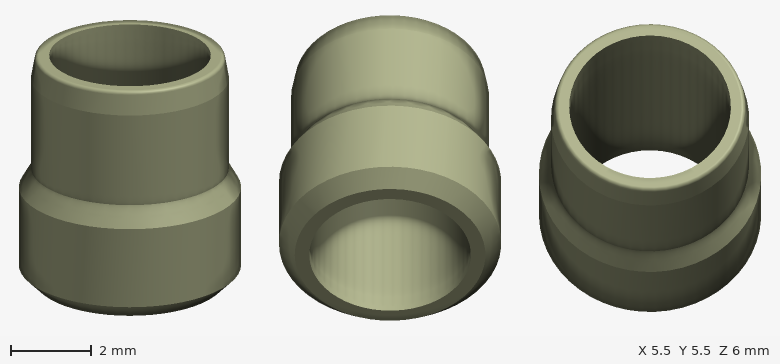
import cadquery as cq
import math

height = 6.0
bore_diameter = 4.0
neck_diameter = 4.9
body_diameter = 5.5
bottom_chamfer = 0.39
neck_start = 3.0
shoulder_angle = 30.0
taper_length = 0.6
taper_angle = 10.0
rim_radius = 0.1

bore_radius = bore_diameter / 2
neck_radius = neck_diameter / 2
body_radius = body_diameter / 2
shoulder_height = (body_radius - neck_radius) / math.tan(math.radians(shoulder_angle))
rim_outer_radius = neck_radius - taper_length * math.tan(math.radians(taper_angle))

outer_profile = [
    (0, 0),
    (body_radius - bottom_chamfer, 0),
    (body_radius, bottom_chamfer),
    (body_radius, neck_start - shoulder_height),
    (neck_radius, neck_start),
    (neck_radius, height - taper_length),
    (rim_outer_radius, height),
    (0, height),
]
sleeve = cq.Workplane("XZ").polyline(outer_profile).close().revolve(360, (0, 0), (0, 1))

sleeve = sleeve.faces(">Z").edges().fillet(rim_radius)

bore = cq.Workplane("XY").circle(bore_radius).extrude(height)
result = sleeve.cut(bore)